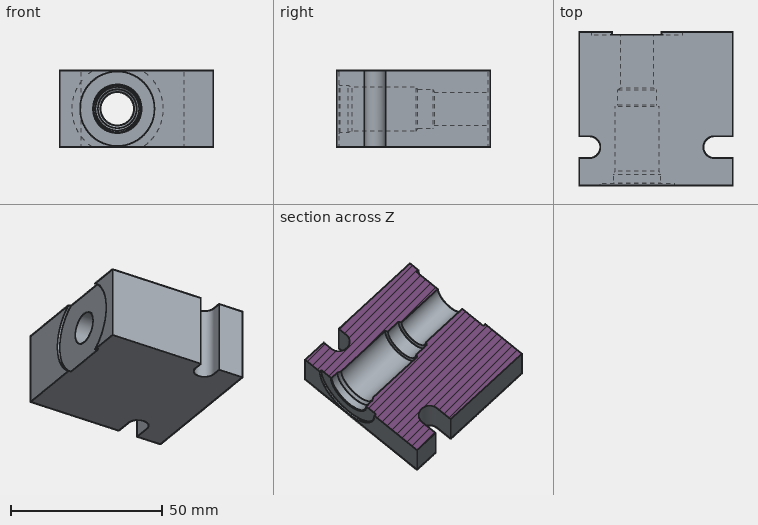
import cadquery as cq
import math

side = 50.8
height = 25.4

port_x = -6.35
front_recess_diameter = 24.65
front_recess_depth = 0.75
back_recess_diameter = 30.2
back_recess_depth = 0.9
mouth_diameter = 16.1
mouth_chamfer = 0.25
entry_diameter = mouth_diameter - 2 * mouth_chamfer
counterbore_diameter = 14.45
step_diameter = 12.8
bore_diameter = 10.95
entry_depth = 2.95
entry_taper_length = 1.25
counterbore_depth = 25.4
step_length = 5.1
step_cone_angle = 59.0

slot_width = 7.1
left_slot_depth = 6.95
right_slot_depth = 9.7
slot_y = -12.7

front_y = -side / 2
back_y = side / 2


def side_slot(direction, slot_depth):
    """Full-height slot with a round inner end; direction is the sign of its X side."""
    outer_x = direction * side / 2
    centre_x = direction * (side / 2 - slot_depth + slot_width / 2)
    straight_length = 2 * abs(outer_x - centre_x)
    straight = cq.Workplane("XY").box(straight_length, slot_width, height)
    straight = straight.translate((outer_x, slot_y, 0))
    round_end = cq.Workplane("XY").circle(slot_width / 2).extrude(height / 2, both=True)
    return straight.union(round_end.translate((centre_x, slot_y, 0)))


def cone_length(large_diameter, small_diameter):
    """Axial length of a conical step between two diameters of the bore."""
    return (large_diameter - small_diameter) / 2 / math.tan(math.radians(step_cone_angle))


def port():
    """Recessed and stepped bore, revolved about the port axis."""
    floor_y = front_y + front_recess_depth
    counterbore_end_y = floor_y + counterbore_depth
    step_start_y = counterbore_end_y + cone_length(counterbore_diameter, step_diameter)
    step_end_y = step_start_y + step_length
    bore_start_y = step_end_y + cone_length(step_diameter, bore_diameter)
    profile = [
        (0, front_y),
        (front_recess_diameter / 2, front_y),
        (front_recess_diameter / 2, floor_y),
        (mouth_diameter / 2, floor_y),
        (entry_diameter / 2, floor_y + mouth_chamfer),
        (entry_diameter / 2, floor_y + entry_depth),
        (counterbore_diameter / 2, floor_y + entry_depth + entry_taper_length),
        (counterbore_diameter / 2, counterbore_end_y),
        (step_diameter / 2, step_start_y),
        (step_diameter / 2, step_end_y),
        (bore_diameter / 2, bore_start_y),
        (bore_diameter / 2, back_y - back_recess_depth),
        (back_recess_diameter / 2, back_y - back_recess_depth),
        (back_recess_diameter / 2, back_y),
        (0, back_y),
    ]
    cutter = cq.Workplane("XY").polyline(profile).close().revolve(360, (0, 0, 0), (0, 1, 0))
    return cutter.translate((port_x, 0, 0))


result = cq.Workplane("XY").box(side, side, height)
for direction, slot_depth in ((-1, left_slot_depth), (1, right_slot_depth)):
    result = result.cut(side_slot(direction, slot_depth))
result = result.cut(port())